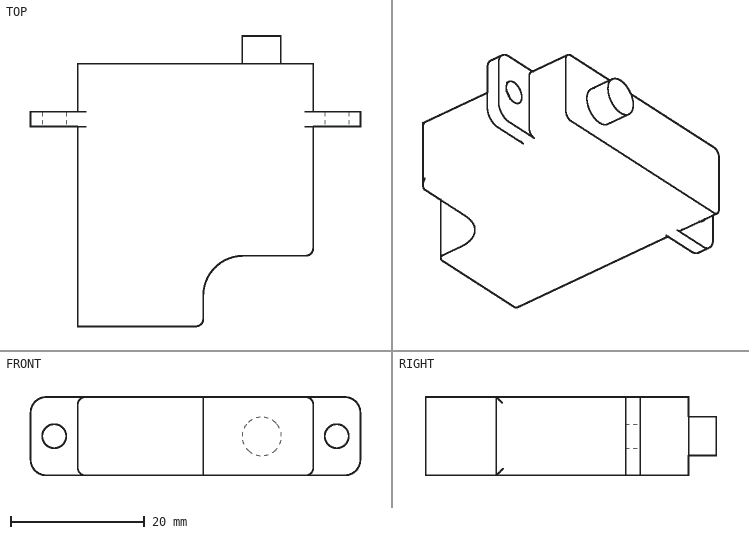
import cadquery as cq

height = 11.75
body_width = 35.25
body_length = 39.35
edge_radius = 1.2

leg_width = 18.8
notch_depth = 10.55
notch_radius = 5.9

flange_width = 49.35
flange_thickness = 2.2
flange_setback = 7.2
flange_corner_radius = 2.35
hole_diameter = 3.55
hole_edge_distance = 3.55

shaft_diameter = 5.8
shaft_length = 4.15
shaft_side_distance = 7.75

left = -body_width / 2
right = body_width / 2

shaft_overlap = 0.5


def corner(x, y):
    """Selector for the upright edge nearest to a corner of the case outline."""
    return cq.selectors.NearestToPointSelector((x, y, 0))


def make_body():
    """Notched case outline, combined with a block whose long edges are rounded."""
    notch_x = left + leg_width
    outline = (
        cq.Workplane("XY", origin=(0, 0, -height / 2))
        .moveTo(left, 0)
        .lineTo(notch_x, 0)
        .lineTo(notch_x, notch_depth)
        .lineTo(right, notch_depth)
        .lineTo(right, body_length)
        .lineTo(left, body_length)
        .close()
        .extrude(height)
    )
    outline = outline.edges("|Z").edges(corner(notch_x, notch_depth)).fillet(notch_radius)
    outline = outline.edges("|Z").edges(corner(notch_x, 0)).fillet(edge_radius)
    outline = outline.edges("|Z").edges(corner(right, notch_depth)).fillet(edge_radius)
    rounded_block = (
        cq.Workplane("XY", origin=(0, body_length / 2, 0))
        .box(body_width, body_length, height)
        .edges("|Y")
        .fillet(edge_radius)
    )
    return outline.intersect(rounded_block)


def make_flange():
    """Upright plate through the case with one mounting hole in each ear."""
    hole_spacing = flange_width - 2 * hole_edge_distance
    return (
        cq.Workplane("XZ", origin=(0, body_length - flange_setback, 0))
        .rect(flange_width, height)
        .extrude(flange_thickness)
        .edges("|Y")
        .fillet(flange_corner_radius)
        .faces("<Y")
        .workplane(centerOption="CenterOfBoundBox")
        .pushPoints([(-hole_spacing / 2, 0), (hole_spacing / 2, 0)])
        .hole(hole_diameter)
    )


def make_shaft():
    """Round shaft standing on the back face."""
    return (
        cq.Workplane("XZ", origin=(right - shaft_side_distance, body_length - shaft_overlap, 0))
        .circle(shaft_diameter / 2)
        .extrude(-(shaft_length + shaft_overlap))
    )


result = make_body().union(make_flange()).union(make_shaft())